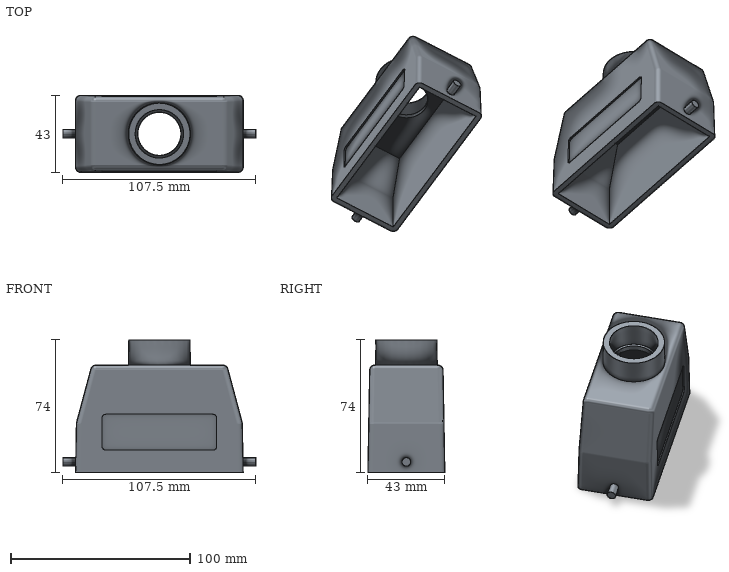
import cadquery as cq
import math

base_length = 93.5
base_width = 43.0
body_height = 60.0
shoulder_height = 27.6
draft_slope = math.tan(math.radians(1))
end_slope = math.tan(math.radians(15))
wall = 3.0
edge_radius = 3.0
shoulder_radius = 4.3

overall_height = 74.0
collar_height = overall_height - body_height
collar_top_radius = 17.1
collar_bottom_radius = collar_top_radius + collar_height * draft_slope
collar_bore_diameter = 27.0
entry_diameter = 24.0

label_length = 63.9
label_height = 20.0
label_center_z = 22.6
label_depth = 0.9
label_corner_radius = 2.0

pin_span = 107.5
pin_diameter = 4.8
pin_center_z = 6.0


def drafted_block(length, width, height):
    """Block standing on Z=0 with drafted sides and ends that lean in above the shoulder."""
    half_length = length / 2
    half_shoulder = half_length - shoulder_height * draft_slope
    half_top = half_shoulder - (height - shoulder_height) * end_slope
    side_outline = [
        (-half_length, 0),
        (half_length, 0),
        (half_shoulder, shoulder_height),
        (half_top, height),
        (-half_top, height),
        (-half_shoulder, shoulder_height),
    ]
    half_width = width / 2
    half_top_width = half_width - height * draft_slope
    end_outline = [
        (-half_width, 0),
        (half_width, 0),
        (half_top_width, height),
        (-half_top_width, height),
    ]
    side_prism = cq.Workplane("XZ").polyline(side_outline).close().extrude(half_width, both=True)
    end_prism = cq.Workplane("YZ").polyline(end_outline).close().extrude(half_length, both=True)
    return side_prism.intersect(end_prism)


def rounded_body():
    """Solid hood with blended shoulders and every edge above the bottom rim rounded."""
    block = drafted_block(base_length, base_width, body_height)
    shoulder_zone = cq.selectors.BoxSelector(
        (-base_length, -base_width, shoulder_height - 1.1),
        (base_length, base_width, shoulder_height + 1.1),
    )
    shoulder_lines = cq.StringSyntaxSelector("|Y") & shoulder_zone
    blended = block.edges(shoulder_lines).fillet(shoulder_radius)
    sharp_edges = cq.StringSyntaxSelector("not <Z") - shoulder_lines
    return blended.edges(sharp_edges).fillet(edge_radius)


def label_recesses():
    """Cutter for both label recesses, their floors parallel to the drafted faces."""
    panel = (
        cq.Workplane("XZ", origin=(0, 0, label_center_z))
        .rect(label_length, label_height)
        .extrude(base_width / 2, both=True)
        .edges("|Y")
        .fillet(label_corner_radius)
    )
    core = drafted_block(base_length, base_width - 2 * label_depth, body_height)
    return panel.cut(core)


def collar():
    """Tapered collar standing on the roof."""
    return (
        cq.Workplane("XY", origin=(0, 0, body_height))
        .circle(collar_bottom_radius)
        .workplane(offset=collar_height)
        .circle(collar_top_radius)
        .loft()
    )


def cable_bore():
    """Cutter for the wide bore in the collar and the narrower entry through the roof."""
    entry = cq.Workplane("XY").circle(entry_diameter / 2).extrude(overall_height)
    wide_bore = (
        cq.Workplane("XY", origin=(0, 0, body_height))
        .circle(collar_bore_diameter / 2)
        .extrude(collar_height)
    )
    return entry.union(wide_bore)


def pin_rod():
    """Rod along X whose two ends form the locking pins."""
    return (
        cq.Workplane("YZ", origin=(0, 0, pin_center_z))
        .circle(pin_diameter / 2)
        .extrude(pin_span / 2, both=True)
    )


def cavity():
    """Hollow inside the hood, which also trims the pins flush with the inner walls."""
    return drafted_block(base_length - 2 * wall, base_width - 2 * wall, body_height - wall)


result = (
    rounded_body()
    .cut(label_recesses())
    .union(collar())
    .union(pin_rod())
    .cut(cavity())
    .cut(cable_bore())
)